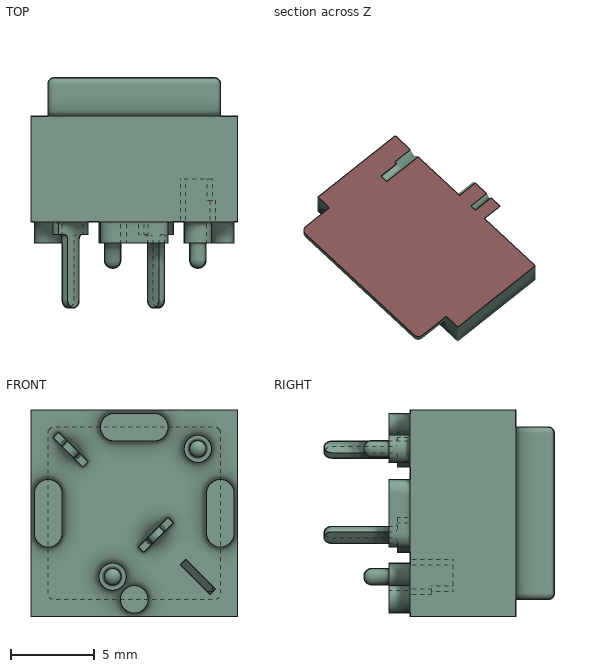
import cadquery as cq


housing_width = 12.32
housing_depth = 6.30
cap_width = 10.29
cap_height = 2.29
cap_edge_radius = 0.38

standoff_height = 1.27
standoff_width = 1.65
standoff_length = 4.04
standoff_offset = 5.13

collar_diameter = 1.63
peg_diameter = 0.99
peg_length = 2.77
peg_centres = [(3.79, 3.84), (-1.29, -3.78)]

overall_depth = 13.72
terminal_length = overall_depth - housing_depth - cap_height
terminal_thickness = 0.46
blade_width = 0.99
shoulder_width = 2.50
shoulder_height = 0.76
shoulder_fillet = 0.25
terminals = [((-3.79, 3.79), -45), ((1.29, -1.29), 45)]

slot_centre = (3.79, -3.79)
slot_angle = -45
slot_step_depth = 1.27
slot_full_depth = 2.54
slot_boundary_width = 9.30


def make_housing():
    return cq.Workplane("XY").box(
        housing_width, housing_depth, housing_width, centered=(True, False, True)
    )


def make_cap():
    cap = cq.Workplane("XY").box(cap_width, cap_height, cap_width, centered=(True, False, True))
    cap = cap.edges("|Y or >Y").fillet(cap_edge_radius)
    return cap.translate((0, housing_depth, 0))


def seating_plane():
    """Sketch plane on the seating face: local x is X, local y is Z, extrusion goes to -Y."""
    return cq.Workplane("XZ")


def make_standoffs():
    top = (
        seating_plane().center(0, standoff_offset)
        .slot2D(standoff_length, standoff_width).extrude(standoff_height)
    )
    sides = (
        seating_plane().pushPoints([(-standoff_offset, 0), (standoff_offset, 0)])
        .slot2D(standoff_length, standoff_width, 90).extrude(standoff_height)
    )
    bottom = (
        seating_plane().center(0, -standoff_offset)
        .circle(standoff_width / 2).extrude(standoff_height)
    )
    return top.union(sides).union(bottom)


def make_peg(x, z):
    collar = seating_plane().center(x, z).circle(collar_diameter / 2).extrude(standoff_height)
    nose_radius = peg_diameter / 2
    shank_length = peg_length - nose_radius
    shank = seating_plane().center(x, z).circle(nose_radius).extrude(shank_length)
    nose = cq.Workplane("XY").sphere(nose_radius).translate((x, -shank_length, z))
    return collar.union(shank).union(nose)


def make_terminal(x, z, angle):
    """T-shaped blade with filleted shoulders and a full-round tip."""
    half_blade = blade_width / 2
    half_shoulder = shoulder_width / 2
    tip_start = -(terminal_length - half_blade)
    fillet_edge = half_blade + shoulder_fillet
    fillet_end = -(shoulder_height + shoulder_fillet)
    blade = (
        cq.Workplane("XY")
        .moveTo(-half_shoulder, 0)
        .lineTo(-half_shoulder, -shoulder_height)
        .lineTo(-fillet_edge, -shoulder_height)
        .radiusArc((-half_blade, fillet_end), shoulder_fillet)
        .lineTo(-half_blade, tip_start)
        .threePointArc((0, -terminal_length), (half_blade, tip_start))
        .lineTo(half_blade, fillet_end)
        .radiusArc((fillet_edge, -shoulder_height), shoulder_fillet)
        .lineTo(half_shoulder, -shoulder_height)
        .lineTo(half_shoulder, 0)
        .close()
        .extrude(terminal_thickness / 2, both=True)
    )
    return blade.rotate((0, 0, 0), (0, -1, 0), angle).translate((x, 0, z))


def make_slot_cutter():
    def slot_prism(depth):
        return (
            seating_plane().center(*slot_centre)
            .transformed(rotate=(0, 0, slot_angle))
            .rect(shoulder_width, terminal_thickness).extrude(-depth)
        )

    boundary = (
        seating_plane().rect(slot_boundary_width, slot_boundary_width).extrude(-slot_full_depth)
    )
    return slot_prism(slot_step_depth).union(slot_prism(slot_full_depth).intersect(boundary))


result = make_housing().union(make_cap()).union(make_standoffs())
for peg_x, peg_z in peg_centres:
    result = result.union(make_peg(peg_x, peg_z))
for (terminal_x, terminal_z), terminal_angle in terminals:
    result = result.union(make_terminal(terminal_x, terminal_z, terminal_angle))
result = result.cut(make_slot_cutter())